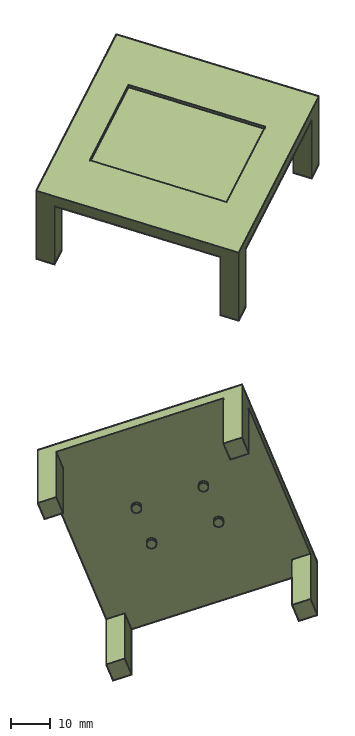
import cadquery as cq

side = 54.8
height = 27.0
top_thickness = 4.0
leg_width = 5.0

recess_length = 37.0
recess_width = 26.4
recess_depth = 1.0

pin_diameter = 2.5
pin_length = 1.0
pin_spacing_x = 10.95
pin_spacing_y = 18.0

underside = height - top_thickness
leg_spacing = side - leg_width


def make_top():
    """Square slab with a rectangular recess in its upper face."""
    slab = cq.Workplane("XY").workplane(offset=underside).rect(side, side).extrude(top_thickness)
    return slab.faces(">Z").workplane().rect(recess_length, recess_width).cutBlind(-recess_depth)


def make_legs():
    """Square legs flush with the four corners, reaching up to the slab."""
    corners = cq.Workplane("XY").rarray(leg_spacing, leg_spacing, 2, 2)
    return corners.rect(leg_width, leg_width).extrude(underside)


def make_pins():
    """Four short round pins hanging from the underside of the slab."""
    pin_plane = cq.Workplane("XY").workplane(offset=underside)
    pin_centers = pin_plane.rarray(pin_spacing_x, pin_spacing_y, 2, 2)
    return pin_centers.circle(pin_diameter / 2).extrude(-pin_length)


result = make_top().union(make_legs()).union(make_pins())